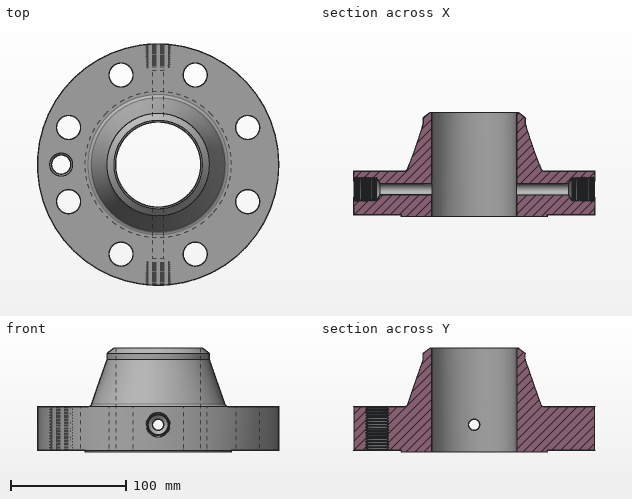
import cadquery as cq
import math

FLANGE_DIAMETER = 209.55
FLANGE_THICKNESS = 38.1
RAISED_FACE_DIAMETER = 127.0
RAISED_FACE_HEIGHT = 1.52
HEIGHT_ABOVE_RAISED_FACE = 88.9
BORE_DIAMETER = 73.66

PIPE_DIAMETER = 88.9
HUB_BASE_DIAMETER = 117.35
WELD_LAND = 1.6
BEVEL_ANGLE = 37.5
WELD_END_LENGTH = 10.0
HUB_FILLET = 3.0
HUB_ROOT_RADIUS_RANK = 3

BOLT_CIRCLE_DIAMETER = 168.15
BOLT_COUNT = 8
BOLT_HOLE_DIAMETER = 20.64

JACK_MAJOR_DIAMETER = 20.0
JACK_MINOR_DIAMETER = 16.5
JACK_PITCH = 2.54
JACK_CREST_FLAT = JACK_PITCH / 8

TAP_HEIGHT = 23.81
TAP_MAJOR_DIAMETER = 21.34
TAP_PITCH = 1.814
TAP_THREAD_TURNS = 11
TAP_THREAD_DEPTH = 1.45
TAP_TAPER = 1 / 16
TAP_DRILL_DIAMETER = 9.53
TAP_DRILL_POINT_ANGLE = 118.0

flange_radius = FLANGE_DIAMETER / 2
bore_radius = BORE_DIAMETER / 2
pipe_radius = PIPE_DIAMETER / 2
bolt_circle_radius = BOLT_CIRCLE_DIAMETER / 2
flange_top = RAISED_FACE_HEIGHT + FLANGE_THICKNESS
overall_height = RAISED_FACE_HEIGHT + HEIGHT_ABOVE_RAISED_FACE


def revolve_profile(points):
    """Turn an (r, z) outline about the Z axis."""
    return cq.Workplane("XZ").polyline(points).close().revolve(360, (0, 0), (0, 1))


def flange_body():
    """Raised face, disc and tapered neck in one turned solid, with the bore."""
    land_radius = bore_radius + WELD_LAND
    bevel_height = (pipe_radius - land_radius) * math.tan(math.radians(BEVEL_ANGLE))
    hub_base_radius = HUB_BASE_DIAMETER / 2
    raised_face_radius = RAISED_FACE_DIAMETER / 2
    body = revolve_profile([
        (bore_radius, 0),
        (raised_face_radius, 0),
        (raised_face_radius, RAISED_FACE_HEIGHT),
        (flange_radius, RAISED_FACE_HEIGHT),
        (flange_radius, flange_top),
        (hub_base_radius, flange_top),
        (pipe_radius, overall_height - WELD_END_LENGTH),
        (pipe_radius, overall_height - bevel_height),
        (land_radius, overall_height),
        (bore_radius, overall_height),
    ])
    hub_root = cq.selectors.RadiusNthSelector(HUB_ROOT_RADIUS_RANK)
    return body.edges(hub_root).fillet(HUB_FILLET)


def bolt_holes():
    """Through holes that straddle the X and Y axes."""
    half_step = 180 / BOLT_COUNT
    return (
        cq.Workplane("XY")
        .polarArray(bolt_circle_radius, half_step, 360, BOLT_COUNT)
        .circle(BOLT_HOLE_DIAMETER / 2)
        .extrude(flange_top)
    )


def jack_screw_hole():
    """Through hole with thread grooves, modelled as rings one pitch apart."""
    major_radius = JACK_MAJOR_DIAMETER / 2
    minor_radius = JACK_MINOR_DIAMETER / 2
    turns = math.ceil(flange_top / JACK_PITCH)
    outline = [(0, flange_top), (major_radius, flange_top)]
    for turn in range(turns):
        crest_z = flange_top - (turn + 0.5) * JACK_PITCH
        outline.append((minor_radius, crest_z + JACK_CREST_FLAT / 2))
        outline.append((minor_radius, crest_z - JACK_CREST_FLAT / 2))
        outline.append((major_radius, crest_z - JACK_PITCH / 2))
    outline.append((0, flange_top - turns * JACK_PITCH))
    return revolve_profile(outline).translate((-bolt_circle_radius, 0, 0))


def pressure_tap():
    """Tapered thread, drill point and small drilled hole, from the -Y rim in to the bore.

    Thread grooves are rings one pitch apart; the outline is (radius, depth below the rim).
    """
    major_radius = TAP_MAJOR_DIAMETER / 2
    drill_radius = TAP_DRILL_DIAMETER / 2
    half_point_angle = math.radians(TAP_DRILL_POINT_ANGLE / 2)
    outline = [(0, 0), (major_radius, 0)]
    for turn in range(TAP_THREAD_TURNS):
        crest_depth = (turn + 0.5) * TAP_PITCH
        root_depth = (turn + 1) * TAP_PITCH
        crest_radius = major_radius - crest_depth * TAP_TAPER / 2 - TAP_THREAD_DEPTH
        root_radius = major_radius - root_depth * TAP_TAPER / 2
        outline.append((crest_radius, crest_depth))
        outline.append((root_radius, root_depth))
    thread_end_radius, thread_end_depth = outline[-1]
    point_height = (thread_end_radius - drill_radius) / math.tan(half_point_angle)
    outline.append((drill_radius, thread_end_depth + point_height))
    outline.append((drill_radius, flange_radius))
    outline.append((0, flange_radius))
    return (
        revolve_profile(outline)
        .rotate((0, 0, 0), (1, 0, 0), -90)
        .translate((0, -flange_radius, TAP_HEIGHT))
    )


tap = pressure_tap()
opposite_tap = tap.rotate((0, 0, 0), (0, 0, 1), 180)

result = flange_body().cut(bolt_holes()).cut(jack_screw_hole()).cut(tap).cut(opposite_tap)